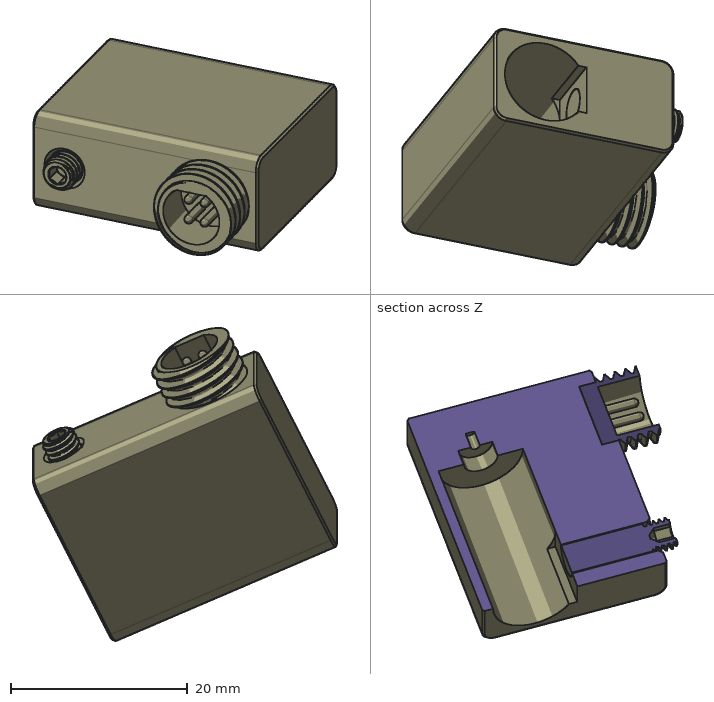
import math

import cadquery as cq

HOUSING_LENGTH = 28.0
HOUSING_DEPTH = 22.0
HOUSING_HEIGHT = 12.0
LONG_EDGE_RADIUS = 1.5
END_EDGE_CHAMFER = 0.25
LEFT_END_X = -HOUSING_LENGTH / 2

BORE_DIAMETER = 10.0
BORE_WALL = 1.25
BORE_DEPTH = 20.0
BORE_STEP_DIAMETER = 4.0
BORE_STEP_DEPTH = 2.0
BORE_TIP_DIAMETER = 1.0
BORE_TIP_DEPTH = 2.0
BORE_AXIS_Y = HOUSING_DEPTH - BORE_WALL - BORE_DIAMETER / 2
BORE_FRONT_Y = BORE_AXIS_Y - BORE_DIAMETER / 2

SCREW_INSET = 4.0
SCREW_X = LEFT_END_X + SCREW_INSET
SCREW_DIAMETER = 4.0
SCREW_PITCH = 0.7
SCREW_THREAD_DEPTH = 0.42
SCREW_END_DIAMETER = 3.33
SCREW_PROTRUSION = 2.0
SCREW_THREAD_LENGTH = 3.0
SCREW_CREST_TO_END = 0.35
SCREW_HOLE_DIAMETER = 4.12
COUNTERSINK_DIAMETER = 5.0
HEX_SIDES = 6
HEX_ACROSS_FLATS = 2.0
HEX_DEPTH = 2.0
HEX_POINT_FLAT = 0.45

RELIEF_HEIGHT = 6.0
RELIEF_LENGTH = 2 * SCREW_INSET

CONNECTOR_X = 8.0
CONNECTOR_DIAMETER = 9.85
CONNECTOR_THREAD_DEPTH = 0.75
CONNECTOR_PROTRUSION = 4.98
CONNECTOR_TURNS = 4
CONNECTOR_PITCH = CONNECTOR_PROTRUSION / CONNECTOR_TURNS
CONNECTOR_CREST_ANGLE = 10
SHANK_DIAMETER = CONNECTOR_DIAMETER - 2 * CONNECTOR_THREAD_DEPTH
SHANK_DEPTH = 2.0
SOCKET_DIAMETER = 7.0
SOCKET_FLAT_Z = 3.0

PIN_DIAMETER = 1.0
PIN_SPACING_X = 2.0
PIN_SPACING_Z = 2.5
PIN_TIP_SETBACK = 1.0

CREST_SHARE = 1 / 8
ROOT_SHARE = 1 / 4
FLANK_POINTS = 16


def cylinder_y(x, z, diameter, front_y, back_y):
    """Cylinder along Y between two Y positions."""
    profile = cq.Workplane("XZ", origin=(x, back_y, z)).circle(diameter / 2)
    return profile.extrude(back_y - front_y)


def cone_y(x, z, front_diameter, back_diameter, front_y, back_y):
    """Truncated cone along Y between two Y positions."""
    base = cq.Vector(x, front_y, z)
    axis = cq.Vector(0, 1, 0)
    cone = cq.Solid.makeCone(front_diameter / 2, back_diameter / 2, back_y - front_y, base, axis)
    return cq.Workplane(cone)


def thread_y(x, diameter, depth, pitch, front_y, back_y, front_crest_angle):
    """Right-handed threaded rod along Y, made by twisting its cross-section.

    front_crest_angle is the direction of the crest on the front face, in degrees from +X towards +Z.
    """
    crest = diameter / 2
    root = crest - depth
    length = back_y - front_y
    twist = 360 * length / pitch
    crest_direction = math.radians(front_crest_angle - twist)
    flank_start = math.pi * CREST_SHARE
    flank_end = math.pi * (1 - ROOT_SHARE)
    flank_sweep = flank_end - flank_start

    def polar(radius, angle):
        direction = crest_direction + angle
        return (radius * math.cos(direction), radius * math.sin(direction))

    def falling_flank(t):
        return polar(crest - depth * t, flank_start + flank_sweep * t)

    def rising_flank(t):
        return polar(root + depth * t, flank_sweep * t - flank_end)

    section = (
        cq.Workplane("XZ", origin=(x, back_y, 0))
        .moveTo(*polar(crest, -flank_start))
        .threePointArc(polar(crest, 0), polar(crest, flank_start))
        .parametricCurve(falling_flank, N=FLANK_POINTS, makeWire=False)
        .threePointArc(polar(root, math.pi), polar(root, -flank_end))
        .parametricCurve(rising_flank, N=FLANK_POINTS, makeWire=False)
        .wire()
    )
    return section.twistExtrude(length, twist)


def make_housing():
    block = (
        cq.Workplane("XY")
        .box(HOUSING_LENGTH, HOUSING_DEPTH, HOUSING_HEIGHT)
        .translate((0, HOUSING_DEPTH / 2, 0))
        .edges("|X")
        .fillet(LONG_EDGE_RADIUS)
        .faces("<X or >X")
        .edges()
        .chamfer(END_EDGE_CHAMFER)
    )

    left_end = cq.Workplane("YZ", origin=(LEFT_END_X, BORE_AXIS_Y, 0))
    step_floor = BORE_DEPTH + BORE_STEP_DEPTH
    tip_floor = step_floor + BORE_TIP_DEPTH
    bore_steps = [
        (BORE_DIAMETER, BORE_DEPTH),
        (BORE_STEP_DIAMETER, step_floor),
        (BORE_TIP_DIAMETER, tip_floor),
    ]
    for diameter, depth in bore_steps:
        block = block.cut(left_end.circle(diameter / 2).extrude(depth))

    relief = cq.Workplane("XY").box(
        RELIEF_LENGTH, BORE_AXIS_Y - BORE_FRONT_Y, RELIEF_HEIGHT, centered=(False, False, True)
    )
    block = block.cut(relief.translate((LEFT_END_X, BORE_FRONT_Y, 0)))

    countersink_depth = (COUNTERSINK_DIAMETER - SCREW_HOLE_DIAMETER) / 2
    block = block.cut(cylinder_y(SCREW_X, 0, SCREW_HOLE_DIAMETER, 0, BORE_FRONT_Y))
    block = block.cut(cone_y(SCREW_X, 0, COUNTERSINK_DIAMETER, SCREW_HOLE_DIAMETER, 0, countersink_depth))

    return block.cut(cylinder_y(CONNECTOR_X, 0, SHANK_DIAMETER, 0, SHANK_DEPTH))


def make_set_screw():
    end_y = -SCREW_PROTRUSION
    crest_angle = -360 * SCREW_CREST_TO_END / SCREW_PITCH
    thread_end_y = end_y + SCREW_THREAD_LENGTH
    screw = thread_y(
        SCREW_X, SCREW_DIAMETER, SCREW_THREAD_DEPTH, SCREW_PITCH, end_y, thread_end_y, crest_angle
    )

    trim_diameter = SCREW_END_DIAMETER + 2 * SCREW_THREAD_LENGTH
    screw = screw.intersect(cone_y(SCREW_X, 0, SCREW_END_DIAMETER, trim_diameter, end_y, thread_end_y))

    screw = screw.union(cylinder_y(SCREW_X, 0, SCREW_DIAMETER, thread_end_y, BORE_FRONT_Y))

    half_corner_angle = 180 / HEX_SIDES
    hex_corners = HEX_ACROSS_FLATS / math.cos(math.radians(half_corner_angle))
    hex_floor_y = end_y + HEX_DEPTH
    socket = (
        cq.Workplane("XZ", origin=(SCREW_X, hex_floor_y, 0))
        .transformed(rotate=(0, 0, half_corner_angle))
        .polygon(HEX_SIDES, hex_corners)
        .extrude(HEX_DEPTH)
    )
    point_depth = (HEX_ACROSS_FLATS - HEX_POINT_FLAT) / 2
    point = cone_y(SCREW_X, 0, HEX_ACROSS_FLATS, HEX_POINT_FLAT, hex_floor_y, hex_floor_y + point_depth)
    mouth_depth = (hex_corners - HEX_ACROSS_FLATS) / 2
    mouth = cone_y(SCREW_X, 0, hex_corners, HEX_ACROSS_FLATS, end_y, end_y + mouth_depth)
    return screw.cut(socket).cut(point).cut(mouth)


def pin_positions():
    return [
        (CONNECTOR_X + side_x * PIN_SPACING_X / 2, side_z * PIN_SPACING_Z / 2)
        for side_x in (-1, 1)
        for side_z in (-1, 1)
    ]


def make_connector():
    end_y = -CONNECTOR_PROTRUSION
    thread = thread_y(
        CONNECTOR_X,
        CONNECTOR_DIAMETER,
        CONNECTOR_THREAD_DEPTH,
        CONNECTOR_PITCH,
        end_y,
        0,
        CONNECTOR_CREST_ANGLE,
    )
    connector = thread.union(cylinder_y(CONNECTOR_X, 0, SHANK_DIAMETER, 0, SHANK_DEPTH))

    socket = cylinder_y(CONNECTOR_X, 0, SOCKET_DIAMETER, end_y, 0)
    below_flat = (
        cq.Workplane("XY")
        .box(SOCKET_DIAMETER, CONNECTOR_PROTRUSION, SOCKET_DIAMETER, centered=(True, False, False))
        .translate((CONNECTOR_X, end_y, SOCKET_FLAT_Z - SOCKET_DIAMETER))
    )
    connector = connector.cut(socket.intersect(below_flat))

    for x, z in pin_positions():
        connector = connector.cut(cylinder_y(x, z, PIN_DIAMETER, 0, SHANK_DEPTH))
    return connector


def make_pin(x, z):
    """Round pin with a hemispherical tip, seated through the connector shank."""
    dome_y = PIN_TIP_SETBACK - CONNECTOR_PROTRUSION + PIN_DIAMETER / 2
    dome = cq.Workplane("XZ", origin=(x, dome_y, z)).sphere(PIN_DIAMETER / 2)
    return cylinder_y(x, z, PIN_DIAMETER, dome_y, SHANK_DEPTH).union(dome)


housing = make_housing()
set_screw = make_set_screw()
connector = make_connector()
pins = [make_pin(x, z) for x, z in pin_positions()]

bodies = [housing, set_screw, connector, *pins]
result = cq.Compound.makeCompound([body.solids().val() for body in bodies])